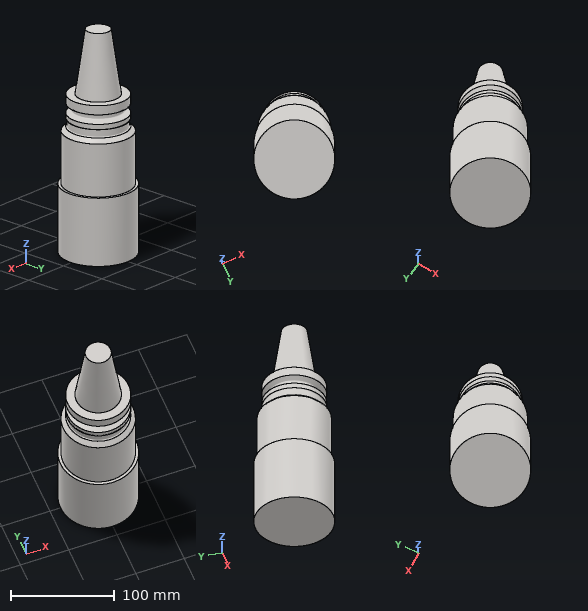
import cadquery as cq
import math

sleeve_diameter = 78.2
body_diameter = 72.0
flange_diameter = 63.0
relief_diameter = 60.5
groove_diameter = 52.0
taper_large_diameter = 45.0
taper_small_diameter = 25.5

total_height = 231.5
sleeve_top = 71.0
relief_bottom = 130.5
flange_bottom = 139.0
groove_lower_edge = 144.6
groove_upper_edge = 154.5
flange_top = 164.0

corner_radius = 1.0

groove_wall_angle = 30.0
groove_depth = (flange_diameter - groove_diameter) / 2
groove_wall_height = groove_depth * math.tan(math.radians(groove_wall_angle))
shoulder_height = (body_diameter - flange_diameter) / 2

profile = [
    (sleeve_diameter, 0),
    (sleeve_diameter, sleeve_top),
    (body_diameter, sleeve_top),
    (body_diameter, relief_bottom - shoulder_height),
    (flange_diameter, relief_bottom),
    (relief_diameter, relief_bottom),
    (relief_diameter, flange_bottom),
    (flange_diameter, flange_bottom),
    (flange_diameter, groove_lower_edge),
    (groove_diameter, groove_lower_edge + groove_wall_height),
    (groove_diameter, groove_upper_edge - groove_wall_height),
    (flange_diameter, groove_upper_edge),
    (flange_diameter, flange_top),
    (taper_large_diameter, flange_top),
    (taper_small_diameter, total_height),
]

half_section = [(0, 0)]
half_section += [(diameter / 2, height) for diameter, height in profile]
half_section.append((0, total_height))
body = cq.Workplane("XZ").polyline(half_section).close().revolve(360, (0, 0), (0, 1))

floor_corners = [
    (groove_diameter, groove_lower_edge + groove_wall_height),
    (groove_diameter, groove_upper_edge - groove_wall_height),
    (relief_diameter, relief_bottom),
    (relief_diameter, flange_bottom),
]


def corner_edges(diameter, height):
    """Circular edges of the given diameter at the given height."""
    tolerance = 0.02
    return [
        edge
        for edge in body.edges("%CIRCLE").vals()
        if abs(edge.radius() - diameter / 2) < tolerance
        and abs(edge.Center().z - height) < tolerance
    ]


inner_edges = []
for diameter, height in floor_corners:
    inner_edges += corner_edges(diameter, height)
result = body.newObject(inner_edges).fillet(corner_radius)